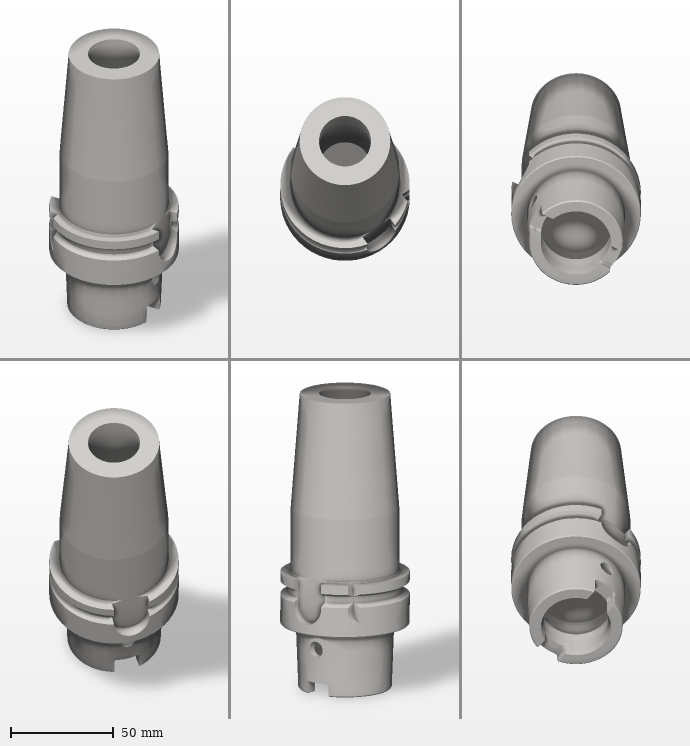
import cadquery as cq

total_height = 147.0
flange_bottom = 32.0
flange_top = 58.0
collar_top = 58.8
cone_bottom = 89.8

shank_end_radius = 22.8
shank_root_radius = 24.0
flange_diameter = 63.0
flange_radius = flange_diameter / 2
collar_radius = 27.2
body_radius = 26.5
nose_radius = 22.0
shank_chamfer = 0.6
flange_chamfer = 0.5

groove_radius = 28.5
groove_lower_lip = 46.9
groove_upper_lip = 53.5
groove_floor_bottom = 48.5
groove_floor_top = 52.0

bore_radius = 12.6
bore_depth = 52.9
cavity_radius = 17.0
cavity_depth = flange_bottom
undercut_radius = 20.0
undercut_bottom = 17.6

keyway_floor = 26.2
left_keyway_width = 16.3
right_keyway_width = 18.1
keyway_bottom = 37.2

notch_wall = 20.0
notch_radius = 6.6
notch_center_z = 44.8

drive_slot_width = 12.8
left_drive_depth = 6.3
right_drive_depth = 10.0
drive_slot_fillet = 1.2

cross_hole_diameter = 7.8
cross_hole_z = 23.2


def turned_body():
    """Revolve the outer profile around Z."""
    profile = [
        (0, 0),
        (shank_end_radius - shank_chamfer, 0),
        (shank_end_radius, shank_chamfer),
        (shank_root_radius, flange_bottom),
        (flange_radius - flange_chamfer, flange_bottom),
        (flange_radius, flange_bottom + flange_chamfer),
        (flange_radius, groove_lower_lip),
        (groove_radius, groove_floor_bottom),
        (groove_radius, groove_floor_top),
        (flange_radius, groove_upper_lip),
        (flange_radius, flange_top),
        (collar_radius, flange_top),
        (body_radius, collar_top),
        (body_radius, cone_bottom),
        (nose_radius, total_height),
        (0, total_height),
    ]
    return cq.Workplane("XZ").polyline(profile).close().revolve(360, (0, 0), (0, 1))


def bore_cut(radius, bottom, depth):
    return cq.Workplane("XY").workplane(offset=bottom).circle(radius).extrude(depth)


def round_ended_slot(side, center_y, width, floor_x, center_z):
    """Upright slot with a round lower end, open outward on the given X side."""
    radius = width / 2
    return (
        cq.Workplane("YZ", origin=(side * floor_x, center_y, 0))
        .moveTo(-radius, collar_top)
        .lineTo(-radius, center_z)
        .threePointArc((0, center_z - radius), (radius, center_z))
        .lineTo(radius, collar_top)
        .close()
        .extrude(side * flange_radius)
    )


def keyway(side, width):
    return round_ended_slot(side, 0, width, keyway_floor, keyway_bottom + width / 2)


def corner_notch():
    center_y = -notch_wall - notch_radius
    return round_ended_slot(-1, center_y, 2 * notch_radius, notch_wall, notch_center_z)


def drive_slot(side, depth):
    """Slot from the shank axis outward, with rounded upper corners."""
    return (
        cq.Workplane("XY")
        .box(flange_radius, drive_slot_width, depth, centered=(False, True, False))
        .edges("|X and >Z")
        .fillet(drive_slot_fillet)
        .translate((0 if side > 0 else -flange_radius, 0, 0))
    )


def cross_hole():
    return (
        cq.Workplane("YZ", origin=(-flange_radius, 0, cross_hole_z))
        .circle(cross_hole_diameter / 2)
        .extrude(flange_diameter)
    )


result = (
    turned_body()
    .cut(bore_cut(bore_radius, total_height - bore_depth, bore_depth))
    .cut(bore_cut(cavity_radius, 0, cavity_depth))
    .cut(bore_cut(undercut_radius, undercut_bottom, cavity_depth - undercut_bottom))
    .cut(keyway(-1, left_keyway_width))
    .cut(keyway(1, right_keyway_width))
    .cut(corner_notch())
    .cut(drive_slot(-1, left_drive_depth))
    .cut(drive_slot(1, right_drive_depth))
    .cut(cross_hole())
)